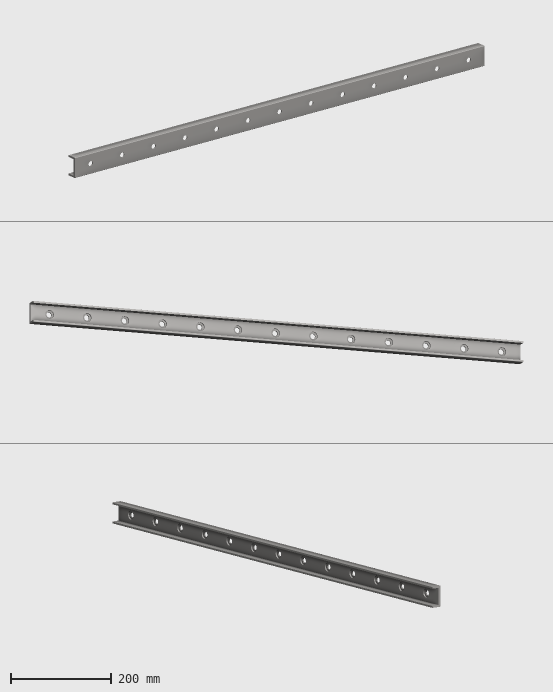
import cadquery as cq

DEPTH = 21.0
LENGTH = 1040.0
HEIGHT = 43.0

WEB_THICKNESS = 5.6
FLANGE_THICKNESS = 4.0
OUTER_CORNER_RADIUS = 0.9

HOLE_COUNT = 13
HOLE_PITCH = LENGTH / HOLE_COUNT
HOLE_DIAMETER = 10.5
COUNTERBORE_DIAMETER = 18.0
COUNTERBORE_DEPTH = 3.0

WEB_FACE_X = DEPTH / 2 - WEB_THICKNESS


def make_rail():
    """Bar with rounded long edges and a full-length channel cut in from the -X side."""
    channel_depth = DEPTH - WEB_THICKNESS
    channel_height = HEIGHT - 2 * FLANGE_THICKNESS
    bar = cq.Workplane("XY").box(DEPTH, LENGTH, HEIGHT).edges("|Y").fillet(OUTER_CORNER_RADIUS)
    channel = (
        cq.Workplane("XY")
        .box(channel_depth, LENGTH, channel_height)
        .translate((WEB_FACE_X - channel_depth / 2, 0, 0))
    )
    return bar.cut(channel)


def cut_hole_row(rail, diameter, depth):
    """Evenly spaced round cuts along the web, going in from its inner face."""
    cutters = (
        cq.Workplane("YZ", origin=(WEB_FACE_X, 0, 0))
        .rarray(HOLE_PITCH, 1, HOLE_COUNT, 1)
        .circle(diameter / 2)
        .extrude(depth)
    )
    return rail.cut(cutters)


rail = make_rail()
rail = cut_hole_row(rail, COUNTERBORE_DIAMETER, COUNTERBORE_DEPTH)
result = cut_hole_row(rail, HOLE_DIAMETER, WEB_THICKNESS)